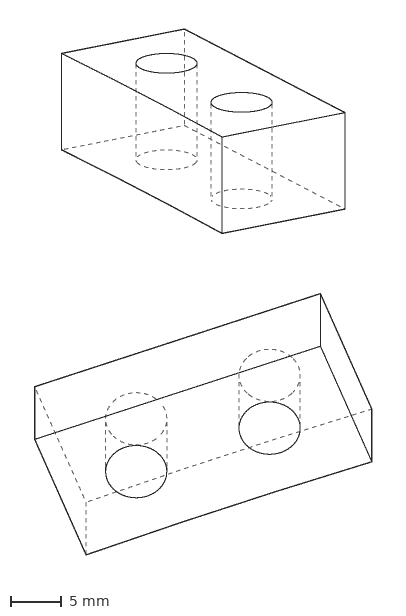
import cadquery as cq

length = 30.0
depth_at_ends = 14.18
depth_at_middle = 14.0
height = 10.0

hole_diameter = 6.0
hole_spacing = 14.0
hole_to_back_face = 7.0


def make_block():
    """Extrude the plan outline: straight back and sides, arced front."""
    half_length = length / 2
    back_y = hole_to_back_face
    end_y = back_y - depth_at_ends
    middle_y = back_y - depth_at_middle
    return (
        cq.Workplane("XY")
        .moveTo(-half_length, end_y)
        .threePointArc((0, middle_y), (half_length, end_y))
        .lineTo(half_length, back_y)
        .lineTo(-half_length, back_y)
        .close()
        .extrude(height)
    )


def drill_holes(block):
    """Cut the pair of through holes, placed symmetrically about X = 0."""
    centres = [(side * hole_spacing / 2, 0) for side in (-1, 1)]
    cutters = cq.Workplane("XY").pushPoints(centres).circle(hole_diameter / 2).extrude(height)
    return block.cut(cutters)


result = drill_holes(make_block())